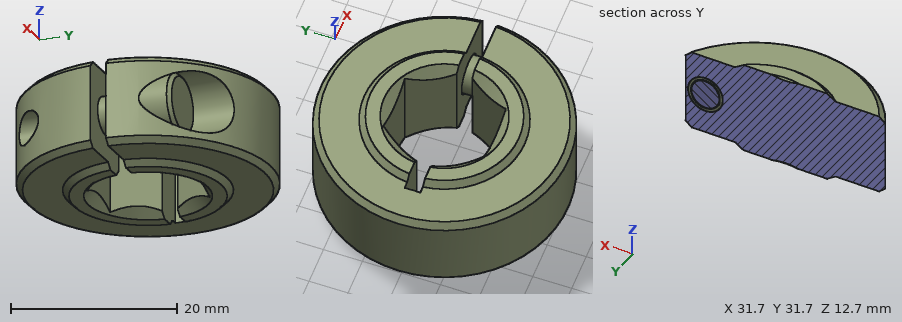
import cadquery as cq
import math

outer_diameter = 31.73
outer_radius = outer_diameter / 2
total_height = 12.7
ring_height = 11.17
hub_radius = 10.28
edge_chamfer = 0.75
hub_rise = (total_height - ring_height) / 2

hex_across_flats = 12.95
hex_across_corners = hex_across_flats / math.cos(math.pi / 6)
lead_in_radius = 7.75

slot_width = 2.0
slot_blind_depth = 11.1

screw_x = 11.15
shank_diameter = 4.82
shank_length = 11.75
head_diameter = 7.87
head_height = shank_diameter
head_chamfer = 0.48
head_top_y = 9.05
tip_diameter = 3.95
tip_chamfer = (shank_diameter - tip_diameter) / 2
exit_hole_diameter = 4.05
clearance_diameter = 5.15
seat_y = head_top_y - head_height
tip_y = seat_y - shank_length


def screw_axis_cylinder(diameter, start_y, end_y):
    """Cylinder on the screw axis between two Y positions."""
    return (
        cq.Workplane("XZ", origin=(screw_x, start_y, 0))
        .circle(diameter / 2)
        .extrude(start_y - end_y)
    )


def make_ring():
    """Chamfered ring with a chamfered hub standing out of each face."""
    ring = cq.Workplane("XY").circle(outer_radius).extrude(ring_height / 2, both=True)
    ring = ring.edges("%CIRCLE").chamfer(edge_chamfer)
    for direction in (1, -1):
        hub = (
            cq.Workplane("XY", origin=(0, 0, direction * ring_height / 2))
            .circle(hub_radius)
            .workplane(offset=direction * hub_rise)
            .circle(hub_radius - hub_rise)
            .loft()
        )
        ring = ring.union(hub)
    return ring


def make_bore():
    """Hexagonal hole plus a conical lead-in at both ends."""
    bore = cq.Workplane("XY").polygon(6, hex_across_corners).extrude(total_height / 2, both=True)
    for direction in (1, -1):
        lead_in = cq.Solid.makeCone(
            lead_in_radius, 0, lead_in_radius,
            pnt=cq.Vector(0, 0, direction * total_height / 2),
            dir=cq.Vector(0, 0, -direction),
        )
        bore = bore.union(cq.Workplane(lead_in))
    return bore


def make_slot():
    """Full-height slot from the blind -X end out through the +X side."""
    slot_length = slot_blind_depth + outer_radius
    return cq.Workplane("XY", origin=(-slot_blind_depth, 0, 0)).box(
        slot_length, slot_width, total_height, centered=(False, True, True)
    )


def make_screw_hole():
    """Head counterbore, loose hole down to the slot, close shank bore and narrower exit hole."""
    counterbore = screw_axis_cylinder(head_diameter, seat_y, outer_radius)
    clearance_hole = screw_axis_cylinder(clearance_diameter, 0, seat_y)
    shank_bore = screw_axis_cylinder(shank_diameter, tip_y, 0)
    exit_hole = screw_axis_cylinder(exit_hole_diameter, -outer_radius, tip_y)
    return counterbore.union(clearance_hole).union(shank_bore).union(exit_hole)


def make_collar():
    return make_ring().cut(make_bore()).cut(make_slot()).cut(make_screw_hole())


def make_screw():
    """Cap screw with a chamfered head and a chamfered tip."""
    head = screw_axis_cylinder(head_diameter, seat_y, head_top_y)
    head = head.faces(">Y").chamfer(head_chamfer)
    shank = screw_axis_cylinder(shank_diameter, tip_y, seat_y)
    shank = shank.faces("<Y").chamfer(tip_chamfer)
    return head.union(shank)


collar = make_collar()
screw = make_screw()
result = cq.Compound.makeCompound([collar.val(), screw.val()])